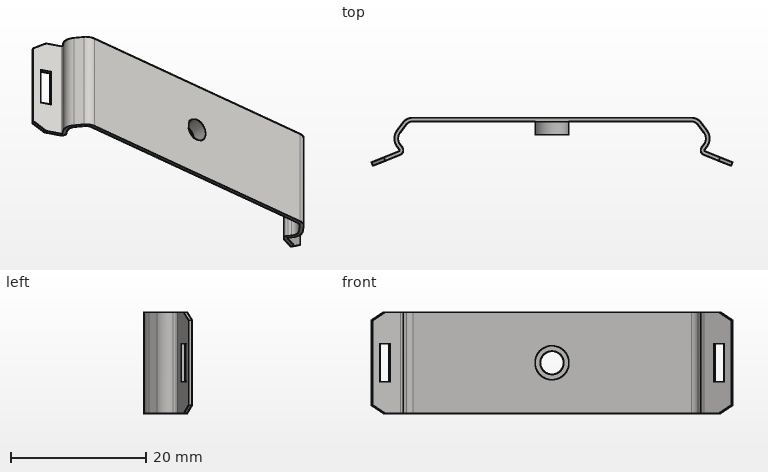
import cadquery as cq
import math

length = 53.35
height = 15.0
depth = 7.15
thickness = 0.6

flap_angle = math.radians(22)
leg_angle = math.radians(53)
bulge_x = 23.8
bulge_y = -3.1
shoulder_radius = 1.8
bulge_radius = 2.0
fold_radius = 0.15

corner_length = 2.0
corner_height = 1.25
slot_tip_distance = 1.2
slot_width = 1.6
slot_height = 5.6

bushing_diameter = 5.0
bore_diameter = 3.4
bushing_end_y = -2.55

tip_x = length / 2
tip_y = -depth + thickness * math.cos(flap_angle)
leg_slope = math.tan(leg_angle)
flap_slope = math.tan(flap_angle)
shoulder_x = bulge_x + bulge_y / leg_slope
fold_x = (tip_y - bulge_y + flap_slope * tip_x + leg_slope * bulge_x) / (leg_slope + flap_slope)
fold_y = tip_y + flap_slope * (tip_x - fold_x)
back_corners = [
    cq.Vector(0, 0),
    cq.Vector(shoulder_x, 0),
    cq.Vector(bulge_x, bulge_y),
    cq.Vector(fold_x, fold_y),
    cq.Vector(tip_x, tip_y),
]


def offset_corners(corners, distance):
    """Shift an open path to the right of its travel, with mitred corners."""
    normals = []
    for start, end in zip(corners, corners[1:]):
        along = (end - start).normalized()
        normals.append(cq.Vector(along.y, -along.x))
    shifted = [corners[0] + normals[0] * distance]
    for corner, before, after in zip(corners[1:], normals, normals[1:]):
        miter = (before + after) * (distance / (1 + before.dot(after)))
        shifted.append(corner + miter)
    shifted.append(corners[-1] + normals[-1] * distance)
    return shifted


def round_bend(body, corner, radius):
    """Round the vertical edge standing at a profile corner."""
    reach = 0.005
    box = cq.selectors.BoxSelector(
        (corner.x - reach, corner.y - reach, -reach),
        (corner.x + reach, corner.y + reach, reach),
    )
    return body.edges("|Z").edges(box).fillet(radius)


def bent_half():
    front_corners = offset_corners(back_corners, thickness)
    outline = back_corners + front_corners[::-1]
    body = (
        cq.Workplane("XY")
        .polyline([(point.x, point.y) for point in outline])
        .close()
        .extrude(height / 2, both=True)
    )
    back_radii = [shoulder_radius, bulge_radius, fold_radius]
    front_radii = [shoulder_radius - thickness, bulge_radius - thickness, fold_radius + thickness]
    for corner, radius in zip(back_corners[1:-1], back_radii):
        body = round_bend(body, corner, radius)
    for corner, radius in zip(front_corners[1:-1], front_radii):
        body = round_bend(body, corner, radius)
    return body


def flap_cutter():
    """Slot and corner cuts, drawn on the flap with local X running in from its tip."""
    flap_plane = cq.Plane(
        origin=(tip_x, tip_y, 0),
        xDir=(-math.cos(flap_angle), math.sin(flap_angle), 0),
        normal=(math.sin(flap_angle), math.cos(flap_angle), 0),
    )
    cut_depth = 2 * thickness
    cutter = (
        cq.Workplane(flap_plane)
        .center(slot_tip_distance + slot_width / 2, 0)
        .rect(slot_width, slot_height)
        .extrude(cut_depth, both=True)
    )
    for side in (1, -1):
        edge = side * height / 2
        corner = (
            cq.Workplane(flap_plane)
            .polyline([(0, edge), (corner_length, edge), (0, edge - side * corner_height)])
            .close()
            .extrude(cut_depth, both=True)
        )
        cutter = cutter.union(corner)
    return cutter


def cylinder_through_web(diameter):
    return cq.Workplane("XZ").circle(diameter / 2).extrude(-bushing_end_y)


half = bent_half().cut(flap_cutter())
clip = half.union(half.mirror("YZ"))
result = clip.union(cylinder_through_web(bushing_diameter)).cut(cylinder_through_web(bore_diameter))